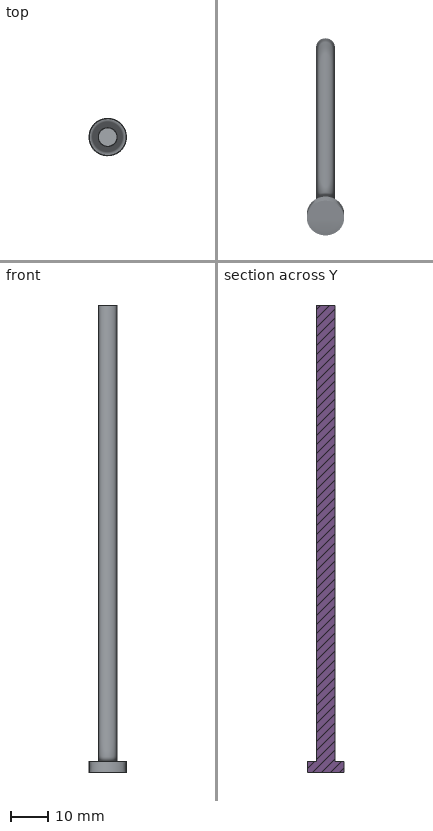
import cadquery as cq

total_length = 125.0
head_diameter = 10.0
head_thickness = 3.0
shank_diameter = 5.0
shank_length = total_length - head_thickness


def make_head():
    """Round head, its underside on the XY plane."""
    return cq.Workplane("XY").circle(head_diameter / 2).extrude(head_thickness)


def make_shank():
    """Cylindrical shank rising from the top face of the head."""
    return (
        cq.Workplane("XY")
        .workplane(offset=head_thickness)
        .circle(shank_diameter / 2)
        .extrude(shank_length)
    )


result = make_head().union(make_shank())